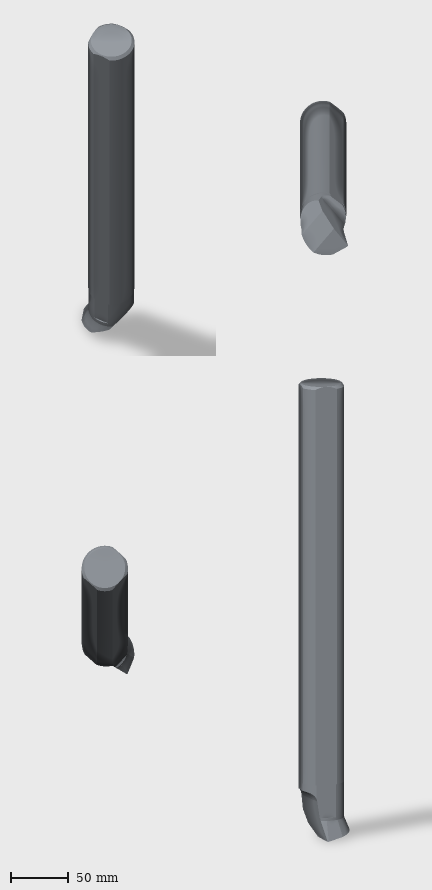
import cadquery as cq
import math

total_length = 401.5
shank_radius = 20.0
flat_distance_x = 17.5
flat_distance_y = 18.5
flat_end_z_x = 19.3
flat_end_z_y = 21.3
top_chamfer = 2.5

neck_radius = 19.5
neck_top_z = 48.5
flare_top_z = 17.0
flare_bottom_radius = 27.0

tip_x = -27.0
heel_x = -8.0
heel_z = 1.5
knee_x = 8.5
knee_z = 11.2
shoulder_z = 31.5
bottom_clearance = 0.15

rake_offset = 6.5
rake_slope_x = 0.2
rake_slope_z = 0.15
rake_top_z = 34.0
runout_radius = 9.2

flank_back_x = -23.5
flank_back_y = -11.2

insert_height = 15.5
insert_thickness = 4.0

reach = 80.5


def make_shank():
    round_bar = (
        cq.Workplane("XY")
        .workplane(offset=neck_top_z)
        .circle(shank_radius)
        .extrude(total_length - neck_top_z)
        .faces(">Z")
        .chamfer(top_chamfer)
    )
    neck = cq.Workplane("XY").circle(neck_radius).extrude(neck_top_z)
    return round_bar.union(neck)


def cut_flats(body):
    for direction_x, direction_y, distance, end_z in (
        (-1, 0, flat_distance_x, flat_end_z_x),
        (0, -1, flat_distance_y, flat_end_z_y),
        (0, 1, flat_distance_y, flat_end_z_y),
    ):
        flat_length = total_length - end_z
        middle_z = end_z + flat_length / 2
        centre = distance + reach / 2
        block = cq.Workplane("XY").box(reach, reach, flat_length)
        body = body.cut(block.translate((direction_x * centre, direction_y * centre, middle_z)))
    return body


def make_flare():
    return (
        cq.Workplane("XZ")
        .moveTo(0, 0)
        .lineTo(flare_bottom_radius, 0)
        .lineTo(neck_radius, flare_top_z)
        .lineTo(0, flare_top_z)
        .close()
        .revolve(360, (0, 0, 0), (0, 1, 0))
    )


def slanted_prism(outline, direction):
    """Extrude the outline by the full direction vector, which need not be square to it."""
    return cq.Workplane(cq.Solid.extrudeLinear(outline.val(), [], cq.Vector(*direction)))


def make_lower_relief():
    """Material below the head outline, rising towards -Y for clearance."""
    shoulder_slope = (shoulder_z - knee_z) / (shank_radius - knee_x)
    outline = (
        cq.Workplane("XZ", origin=(0, reach / 2, -bottom_clearance * reach / 2))
        .moveTo(-reach, 0)
        .lineTo(tip_x, 0)
        .lineTo(heel_x, heel_z)
        .lineTo(knee_x, knee_z)
        .lineTo(reach, knee_z + shoulder_slope * (reach - knee_x))
        .lineTo(reach, -reach)
        .lineTo(-reach, -reach)
        .close()
        .wire()
    )
    return slanted_prism(outline, (0, -reach, bottom_clearance * reach))


def make_rake_space(depth=0.0):
    """Open space on the +Y side of the rake face, moved by depth into the head."""
    start_y = rake_offset - rake_slope_x * reach - depth
    curve_y = start_y + rake_slope_z * rake_top_z
    tilt = math.atan(rake_slope_z)
    centre_y = curve_y + runout_radius * math.cos(tilt)
    centre_z = rake_top_z - runout_radius * math.sin(tilt)
    middle_angle = (math.pi / 2 - tilt) / 2
    middle_point = (
        centre_y - runout_radius * math.sin(middle_angle),
        centre_z + runout_radius * math.cos(middle_angle),
    )
    outline = (
        cq.Workplane("YZ", origin=(-reach, 0, 0))
        .moveTo(start_y - rake_slope_z * reach, -reach)
        .lineTo(curve_y, rake_top_z)
        .threePointArc(middle_point, (centre_y, centre_z + runout_radius))
        .lineTo(reach, centre_z + runout_radius)
        .lineTo(reach, -reach)
        .close()
        .wire()
    )
    return slanted_prism(outline, (2 * reach, 2 * reach * rake_slope_x, 0))


def make_flank_relief():
    """Material outside a plane that runs back from the tip alongside the flare."""
    run_x = (flank_back_x - tip_x) / -flank_back_y
    flare_slope = (flare_bottom_radius - neck_radius) / flare_top_z
    outline = (
        cq.Workplane("XY")
        .moveTo(tip_x - run_x * reach, reach)
        .lineTo(tip_x + run_x * reach, -reach)
        .lineTo(-2 * reach, -reach)
        .lineTo(-2 * reach, reach)
        .close()
        .wire()
    )
    return slanted_prism(outline, (flare_slope * flare_top_z, 0, flare_top_z))


def make_insert_zone():
    """Parallelogram plate zone whose sides follow the flank and the heel."""
    flank_lean = (flare_bottom_radius - neck_radius) / flare_top_z * insert_height
    outline = (
        cq.Workplane("XZ", origin=(0, reach / 2, 0))
        .moveTo(tip_x - reach, 0)
        .lineTo(heel_x, 0)
        .lineTo(heel_x + flank_lean, insert_height)
        .lineTo(tip_x - reach, insert_height)
        .close()
        .extrude(reach)
    )
    return outline.intersect(make_rake_space(insert_thickness))


def make_tool_blank():
    blank = cut_flats(make_shank()).union(make_flare())
    for space in (make_lower_relief(), make_rake_space(), make_flank_relief()):
        blank = blank.cut(space)
    return blank


tool_blank = make_tool_blank()
insert_zone = make_insert_zone()
holder = tool_blank.cut(insert_zone)
insert = tool_blank.intersect(insert_zone)

result = cq.Compound.makeCompound([*holder.solids().vals(), *insert.solids().vals()])